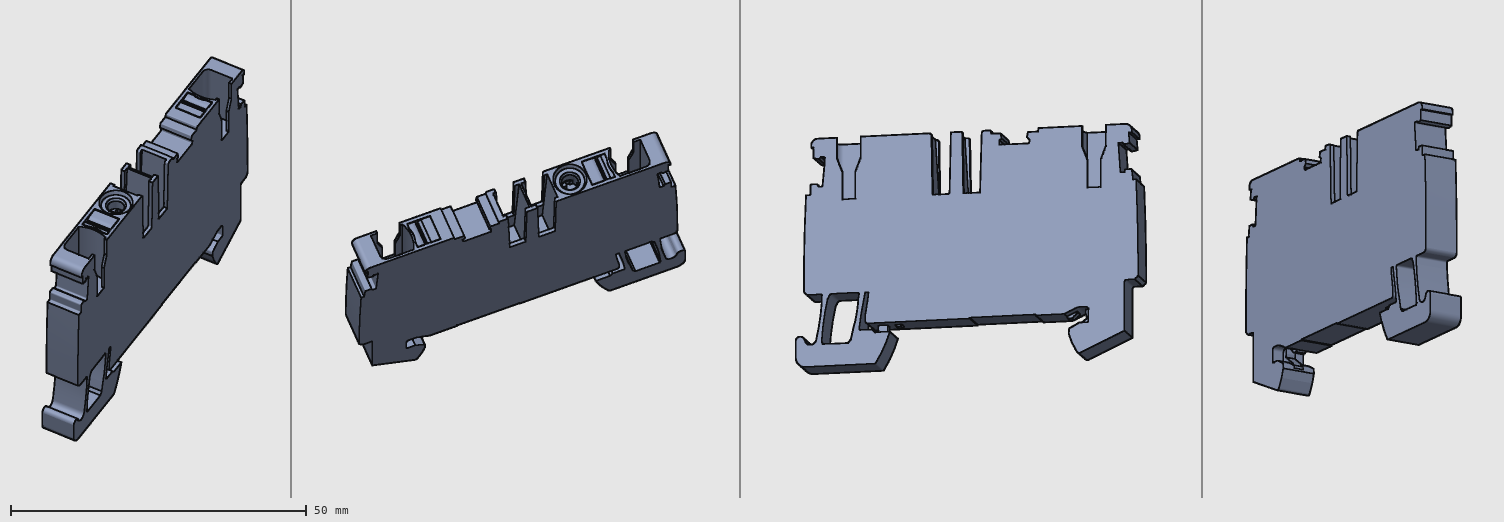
import cadquery as cq
import math


length = 59.5
thickness = 6.1
height = 39.4

y_max = length / 2
y_min = -length / 2
x_wall = -thickness / 2
side_wall = 0.7

z_top = height
z_ledge = 38.8
z_lip = 37.9
z_notch_top = 36.15
z_notch_floor = 31.05
z_shelf = 31.5
z_shoulder = 29.7
z_channel = 28.75
z_body = 12.45
z_rail = 7.0
z_foot = 3.8

BEND = "bend"

fixed_end_outline = [
    (18.2, 2.0),
    (19.3, 0.0, 0.55),
    (27.35, 3.6),
    (27.35, z_body, 0.35),
    (y_max - 0.6, z_body),
    (y_max, z_body + 0.6),
    (y_max - 0.09, 21.4, BEND),
    (29.4, z_shoulder),
    (28.85, z_shoulder),
    (28.6, z_shelf, 0.2),
    (27.5, z_shelf),
    (27.35, z_notch_floor),
    (26.65, z_notch_floor, 0.2),
    (26.3, z_notch_top),
    (27.0, z_notch_top),
    (27.2, 35.8),
    (28.25, 36.05),
    (28.1, z_lip),
    (28.6, z_lip),
    (28.6, z_top, 1.1),
]
marker_groove_outline = [
    (12.45, z_top, 0.2),
    (12.3, z_ledge),
    (10.6, z_ledge, 0.2),
    (10.4, z_lip),
    (10.9, 37.35),
    (10.75, 36.8, 0.2),
    (5.65, 36.8),
    (5.65, 37.6),
    (6.0, z_lip),
    (5.85, z_ledge),
    (4.2, z_ledge),
    (4.1, z_top, 0.2),
]
jumper_slot_outline = [
    (2.55, z_top, 0.5),
    (2.25, z_channel),
    (-0.65, z_channel),
    (-0.85, z_top, 0.25),
    (-2.8, z_top),
    (-3.05, z_channel, 0.3),
    (-6.0, z_channel, 0.3),
    (-6.2, z_top, 0.4),
]
foot_end_outline = [
    (-27.05, z_top, 1.2),
    (-27.05, z_lip),
    (-26.65, z_lip),
    (-26.65, 36.05),
    (-25.7, 35.8),
    (-25.35, z_notch_top),
    (-24.6, z_notch_top, 0.3),
    (-25.1, z_notch_floor, 0.25),
    (-25.75, z_notch_floor),
    (-26.05, z_shelf),
    (-27.2, z_shelf, 0.3),
    (-27.2, z_shoulder, 0.2),
    (-27.95, z_shoulder),
    (-28.25, 21.4, BEND),
    (-28.3, z_body + 0.7),
    (-28.1, z_body + 0.25, BEND),
    (-27.6, z_body),
    (-25.15, z_body, 0.3),
    (-25.2, 11.0),
    (-25.5, 8.2, BEND),
    (-26.2, z_foot + 0.85),
    (-27.1, z_foot, BEND),
    (-28.0, z_foot + 0.4),
    (-28.2, z_foot + 0.85),
    (-28.9, 5.3, BEND),
    (y_min, z_foot + 0.85),
    (y_min, 0.0, 1.65),
    (-15.9, 0.0, 0.3),
    (-14.5, 2.5, BEND),
    (-13.4, 5.4),
    (-16.0, 5.4),
    (-16.5, 5.95),
    (-18.75, 5.95, 0.25),
    (-18.4, 8.6),
    (-17.65, z_body, 0.2),
    (-17.1, z_body, 0.2),
    (-17.2, 11.3),
    (-17.65, 8.3),
    (-17.65, z_rail, 0.5),
]
rail_hook_outline = [
    (16.9, z_rail),
    (19.3, 8.1, 0.7),
    (21.1, 8.1, 0.55),
    (21.1, 5.4, 0.25),
    (19.5, 5.4),
    (17.7, 4.45, 0.35),
    (17.65, 3.55),
]
housing_outline = (
    fixed_end_outline
    + marker_groove_outline
    + jumper_slot_outline
    + foot_end_outline
    + rail_hook_outline
)

foot_window_outline = [
    (-18.75, z_body, 0.3),
    (-23.75, z_body, 0.55),
    (-24.2, 11.5),
    (-24.8, 8.3, BEND),
    (-25.2, z_foot + 0.35),
    (-25.05, z_foot),
    (-20.65, z_foot),
    (-20.15, z_foot + 0.6),
    (-19.75, 6.25),
    (-19.2, 8.5, BEND),
    (-18.9, 10.7),
]

relief_y_max = 11.9
relief_y_min = 0.5
relief_depth = 0.15

rib_thickness = 1.8
hook_rib_outline = [
    (21.25, 8.3),
    (20.15, 8.3),
    (20.15, 7.15),
    (20.35, 6.55),
    (17.95, 4.8, 0.3),
    (17.6, 3.9),
    (19.5, 4.75),
    (21.25, 5.25),
]
foot_post_outline = [(-14.3, 7.25), (-15.9, 7.25), (-15.9, 5.25), (-14.3, 5.25)]
hook_pad_outline = [(16.8, 7.15), (17.0, 6.65), (17.7, 6.65), (18.8, 7.6), (18.45, 8.1)]
foot_pad_outline = [(-11.7, 7.15), (-12.0, 6.65), (-12.75, 6.65), (-13.0, 7.15)]
rib_outlines = (hook_rib_outline, foot_post_outline, hook_pad_outline, foot_pad_outline)

channel_mouths = (3.15, -1.95)
channel_length = 4.75
channel_depth = 14.3
channel_taper = 0.9
channel_width = thickness - 2 * side_wall

funnel_wall = 0.5
funnel_length = 5.8
funnel_bulge = 0.6
funnel_corner = 1.1
funnel_depth = 10.7
funnel_y = (25.35, -23.8)
gap_start = 1.2
gap_length = 4.15
gap_narrow_length = 2.3
gap_straight_depth = 3.55
gap_narrow_depth = 5.95

latch_y = (16.7, -15.1)
latch_length = 4.15
latch_width = 4.75
latch_depth = 0.2
latch_arc_width = 2.6
latch_arc_rise = 0.25
groove_offset = (0.35, -0.55)
groove_roll = 0.85
groove_slot = 0.35
groove_slope = 0.6
groove_depth = 0.85
roll_drop = groove_depth / 2
groove_slope_drop = 0.4

screw_y = -9.95
screw_rim_radius = 2.85
screw_seat_radius = 2.5
screw_seat_depth = 0.7
screw_bore_rim_radius = 1.7
screw_bore_radius = 1.4
screw_bore_chamfer = 0.4
screw_bore_depth = 3.0
key_depth = 1.2
key_arm_width = 0.95
key_arm_reach = 1.3
key_band_length = 2.6
key_band_height = 0.7
key_body_width = 2.15
key_body_reach = 1.35


def rounded_face(points, x):
    """Closed wire at X = x; a number after a point rounds that corner, BEND puts an arc through it."""
    count = len(points)
    stops = []
    for i, point in enumerate(points):
        if len(point) == 2 or point[2] == BEND:
            stops.append((point[:2], len(point) == 3))
        else:
            start, middle, end = corner_arc(point, points[i - 1], points[(i + 1) % count])
            stops.extend([(start, False), (middle, True), (end, False)])
    pen = cq.Workplane("YZ", origin=(x, 0, 0)).moveTo(*stops[0][0])
    stops.append(stops[0])
    for i in range(1, len(stops)):
        place, is_bend = stops[i]
        if is_bend:
            continue
        before, after_bend = stops[i - 1]
        pen = pen.threePointArc(before, place) if after_bend else pen.lineTo(*place)
    return pen.close()


def corner_arc(corner, before, after):
    """Start, middle and end of the arc that rounds a corner."""
    y, z, radius = corner
    dir_in = unit_vector((y, z), before)
    dir_out = unit_vector((y, z), after)
    half = math.acos(dir_in[0] * dir_out[0] + dir_in[1] * dir_out[1]) / 2
    setback = radius / math.tan(half)
    bisector = unit_vector((0, 0), (dir_in[0] + dir_out[0], dir_in[1] + dir_out[1]))
    reach = radius / math.sin(half) - radius
    return (
        (y + dir_in[0] * setback, z + dir_in[1] * setback),
        (y + bisector[0] * reach, z + bisector[1] * reach),
        (y + dir_out[0] * setback, z + dir_out[1] * setback),
    )


def unit_vector(start, end):
    """Direction from start to end, as a vector of length one."""
    dy = end[0] - start[0]
    dz = end[1] - start[1]
    size = math.hypot(dy, dz)
    return dy / size, dz / size


def plate(points, plate_thickness):
    """Extrude an outline through a thickness centred on X = 0."""
    return rounded_face(points, -plate_thickness / 2).extrude(plate_thickness)


def housing():
    body = plate(housing_outline, thickness).cut(plate(foot_window_outline, thickness))
    relief = cq.Workplane("XY").box(
        thickness, relief_y_max - relief_y_min, 2 * relief_depth
    ).translate((0, (relief_y_max + relief_y_min) / 2, z_rail))
    return body.cut(relief)


def jumper_channel(mouth_y):
    far_y = mouth_y - channel_length
    z_floor = z_top - channel_depth
    return plate(
        [
            (mouth_y, z_top),
            (mouth_y - channel_taper, z_floor),
            (far_y + channel_taper, z_floor),
            (far_y, z_top),
        ],
        channel_width,
    )


def wire_funnel(outer_y, inward):
    """Wire entry with a curved inner wall; inward is the Y direction to the block's middle."""
    left = x_wall + funnel_wall
    right = -left
    inner_y = outer_y + inward * funnel_length
    pocket = (
        cq.Workplane("XY", origin=(0, 0, z_top))
        .moveTo(right, outer_y)
        .lineTo(left + funnel_corner, outer_y)
        .radiusArc((left, outer_y + inward * funnel_corner), inward * funnel_corner)
        .lineTo(left, inner_y)
        .threePointArc((0, inner_y + inward * funnel_bulge), (right, inner_y))
        .close()
        .extrude(-funnel_depth)
    )
    start_y = outer_y + inward * gap_start
    end_y = start_y + inward * gap_length
    narrow_inset = inward * (gap_length - gap_narrow_length) / 2
    z_straight = z_top - gap_straight_depth
    z_narrow = z_top - gap_narrow_depth
    z_floor = z_top - funnel_depth
    gap = rounded_face(
        [
            (start_y, z_top),
            (start_y, z_straight),
            (start_y + narrow_inset, z_narrow),
            (start_y + narrow_inset, z_floor),
            (end_y - narrow_inset, z_floor),
            (end_y - narrow_inset, z_narrow),
            (end_y, z_straight),
            (end_y, z_top),
        ],
        0,
    ).extrude(thickness / 2)
    return pocket.union(gap)


def latch_button(centre_y, groove_y, inward):
    """Shallow recess with a cross groove; its edge follows the curve of the wire funnel."""
    z_face = z_top - latch_depth
    funnel_edge = centre_y - inward * latch_length / 2
    inner_edge = centre_y + inward * latch_length / 2
    recess = (
        cq.Workplane("XY", origin=(0, 0, z_face))
        .moveTo(-latch_width / 2, inner_edge)
        .lineTo(-latch_width / 2, funnel_edge)
        .lineTo(-latch_arc_width / 2, funnel_edge)
        .threePointArc((0, funnel_edge + inward * latch_arc_rise), (latch_arc_width / 2, funnel_edge))
        .lineTo(latch_width / 2, funnel_edge)
        .lineTo(latch_width / 2, inner_edge)
        .close()
        .extrude(latch_depth)
    )
    slot_plus = groove_y + groove_slot / 2
    slot_minus = groove_y - groove_slot / 2
    roll_z = z_face - roll_drop
    roll_radius = (groove_roll**2 + roll_drop**2) / (2 * roll_drop)
    groove = (
        cq.Workplane("YZ", origin=(-latch_width / 2, 0, 0))
        .moveTo(slot_plus + groove_roll, z_face)
        .radiusArc((slot_plus, roll_z), -roll_radius)
        .lineTo(slot_plus, z_face - groove_depth)
        .lineTo(slot_minus, z_face - groove_depth)
        .lineTo(slot_minus, z_face - groove_slope_drop)
        .lineTo(slot_minus - groove_slope, z_face)
        .close()
        .extrude(latch_width)
    )
    return recess.union(groove)


def screw_recess():
    z_seat = z_top - screw_seat_depth
    z_bore = z_seat - screw_bore_chamfer
    z_floor = z_top - screw_bore_depth
    profile = [
        (0, z_top),
        (screw_rim_radius, z_top),
        (screw_seat_radius, z_seat),
        (screw_bore_rim_radius, z_seat),
        (screw_bore_radius, z_bore),
        (screw_bore_radius, z_floor),
        (0, z_floor),
    ]
    bore = cq.Workplane("XZ").polyline(profile).close().revolve(360, (0, 0, 0), (0, 1, 0))
    band = cq.Workplane("XY").box(key_band_length, key_band_height, key_depth)
    arm = cq.Workplane("XY").box(key_arm_width, key_arm_reach, key_depth)
    arm = arm.translate((0, key_arm_reach / 2, 0))
    body = cq.Workplane("XY").box(key_body_width, key_body_reach, key_depth)
    body = body.translate((0, -key_body_reach / 2, 0))
    shank = cq.Workplane("XY").circle(screw_bore_radius).extrude(key_depth, both=True)
    socket = band.union(arm).union(body).intersect(shank)
    socket = socket.translate((0, 0, z_floor - key_depth / 2))
    return bore.union(socket).translate((0, screw_y, 0))


block = housing()
for rib in rib_outlines:
    block = block.union(plate(rib, rib_thickness))
for mouth in channel_mouths:
    block = block.cut(jumper_channel(mouth))
for funnel, button, offset, toward_middle in zip(funnel_y, latch_y, groove_offset, (-1, 1)):
    block = block.cut(wire_funnel(funnel, toward_middle))
    block = block.cut(latch_button(button, button + offset, toward_middle))
block = block.cut(screw_recess())

result = block